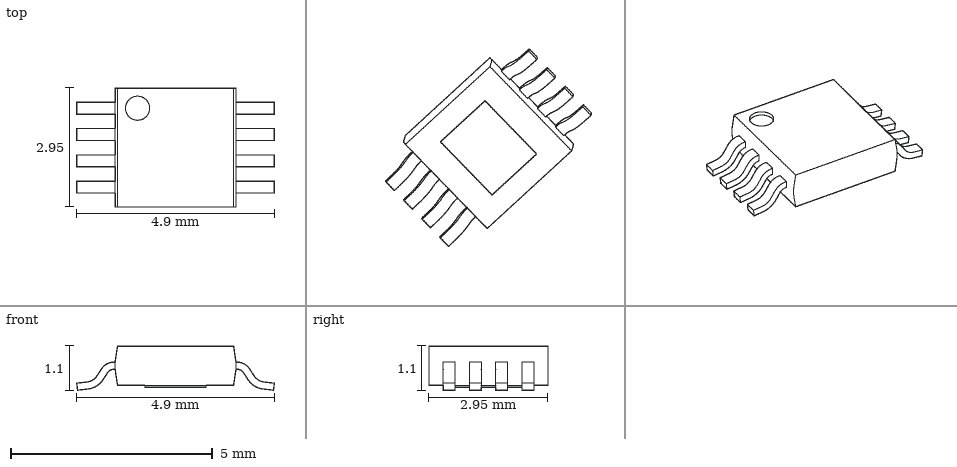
import cadquery as cq
import math

span_x = 4.9
overall_height = 1.1

housing_width = 3.0
housing_length = 2.95
housing_height = 0.975
end_taper = 0.06
band_height = 0.185
housing_top = overall_height
housing_bottom = housing_top - housing_height
housing_mid = (housing_top + housing_bottom) / 2

leads_per_side = 4
lead_pitch = 0.65
lead_width = 0.3
lead_thickness = 0.18
stub_length = 0.03
upper_bend_radius = 0.18
lower_bend_radius = 0.34
leg_angle = math.radians(57)
foot_angle = math.radians(6.5)

dimple_diameter = 0.6
dimple_depth = 0.1
dimple_x = -0.94
dimple_y = (leads_per_side - 1) / 2 * lead_pitch

pad_width = 1.52
pad_length = 1.86
pad_thickness = 0.05


def make_housing():
    """Block with two ends that taper above and below a flat middle band, and a dimple on top."""
    half_width = housing_width / 2
    half_face = half_width - end_taper
    band_top = housing_mid + band_height / 2
    band_bottom = housing_mid - band_height / 2
    outline = [
        (-half_face, housing_bottom),
        (half_face, housing_bottom),
        (half_width, band_bottom),
        (half_width, band_top),
        (half_face, housing_top),
        (-half_face, housing_top),
        (-half_width, band_top),
        (-half_width, band_bottom),
    ]
    block = cq.Workplane("XZ").polyline(outline).close().extrude(housing_length / 2, both=True)
    dimple = (
        cq.Workplane("XY", origin=(dimple_x, dimple_y, housing_top - dimple_depth))
        .circle(dimple_diameter / 2)
        .extrude(dimple_depth)
    )
    return block.cut(dimple)


def make_pad():
    """Thin plate against the underside of the housing."""
    plate = cq.Workplane("XY", origin=(0, 0, housing_bottom - pad_thickness))
    return plate.rect(pad_width, pad_length).extrude(pad_thickness)


def on_circle(center, radius, angle):
    """Point on a circle at an angle measured from +Z towards +X."""
    return (center[0] + radius * math.sin(angle), center[1] + radius * math.cos(angle))


def make_lead():
    """Lead on the +X side at Y = 0: stub, downward bend, sloped leg, upward bend and foot."""
    start_x = housing_width / 2
    top_z = housing_mid + lead_thickness / 2
    bottom_z = top_z - lead_thickness
    upper_outer = upper_bend_radius + lead_thickness
    lower_outer = lower_bend_radius + lead_thickness

    reach = span_x / 2 - start_x - stub_length
    drop = top_z - lead_thickness * math.cos(foot_angle)
    bend_reach = upper_outer * math.sin(leg_angle)
    bend_reach += lower_bend_radius * (math.sin(leg_angle) - math.sin(foot_angle))
    bend_drop = upper_outer * (1 - math.cos(leg_angle))
    bend_drop += lower_bend_radius * (math.cos(foot_angle) - math.cos(leg_angle))
    straight_reach = reach - bend_reach
    straight_drop = drop - bend_drop
    turn = math.sin(leg_angle - foot_angle)
    leg_length = (straight_drop * math.cos(foot_angle) - straight_reach * math.sin(foot_angle)) / turn
    foot_length = (straight_reach * math.sin(leg_angle) - straight_drop * math.cos(leg_angle)) / turn

    upper_center = (start_x + stub_length, top_z - upper_outer)
    leg_x, leg_z = on_circle(upper_center, upper_outer + lower_bend_radius, leg_angle)
    lower_center = (
        leg_x + leg_length * math.cos(leg_angle),
        leg_z - leg_length * math.sin(leg_angle),
    )
    half_leg = leg_angle / 2
    half_foot = (leg_angle + foot_angle) / 2

    def upper(radius, angle):
        return on_circle(upper_center, radius, angle)

    def lower(radius, angle):
        return on_circle(lower_center, -radius, angle)

    def tip(radius):
        x, z = lower(radius, foot_angle)
        return (x + foot_length * math.cos(foot_angle), z - foot_length * math.sin(foot_angle))

    profile = (
        cq.Workplane("XZ")
        .moveTo(start_x, top_z)
        .lineTo(*upper(upper_outer, 0))
        .threePointArc(upper(upper_outer, half_leg), upper(upper_outer, leg_angle))
        .lineTo(*lower(lower_bend_radius, leg_angle))
        .threePointArc(lower(lower_bend_radius, half_foot), lower(lower_bend_radius, foot_angle))
        .lineTo(*tip(lower_bend_radius))
        .lineTo(*tip(lower_outer))
        .lineTo(*lower(lower_outer, foot_angle))
        .threePointArc(lower(lower_outer, half_foot), lower(lower_outer, leg_angle))
        .lineTo(*upper(upper_bend_radius, leg_angle))
        .threePointArc(upper(upper_bend_radius, half_leg), upper(upper_bend_radius, 0))
        .lineTo(start_x, bottom_z)
        .close()
    )
    return profile.extrude(lead_width / 2, both=True)


housing = make_housing()
pad = make_pad()

right_lead = make_lead()
left_lead = right_lead.mirror("YZ")
leads = []
for row in range(leads_per_side):
    row_y = (row - (leads_per_side - 1) / 2) * lead_pitch
    for lead in (left_lead, right_lead):
        leads.append(lead.translate((0, row_y, 0)).val())

result = cq.Compound.makeCompound([housing.val(), pad.val(), *leads])